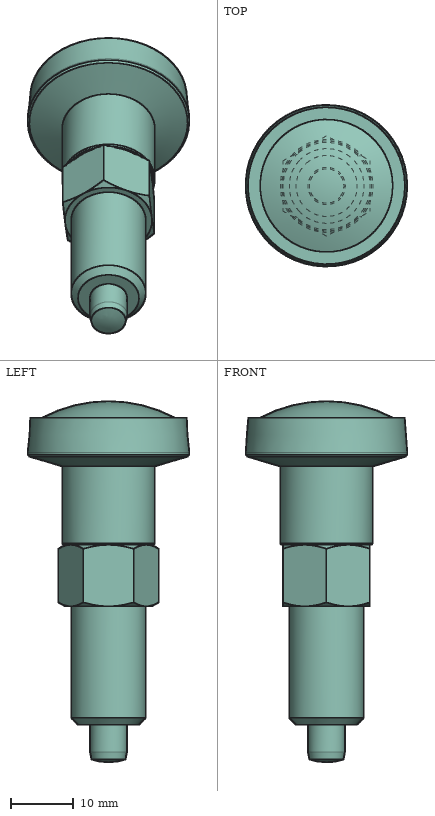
import cadquery as cq
import math

total_height = 58.0
rim_top_z = 55.35
band_top_z = 49.8
band_bottom_z = 49.4
cone_top_z = 49.05
neck_top_z = 47.5
hex_top_z = 34.9
hex_bottom_z = 25.05
barrel_chamfer_z = 7.15
barrel_end_z = 6.05
pin_shoulder_z = 1.7
pin_crown_z = 0.45

knob_diameter = 26.0
rim_top_diameter = 25.2
cone_top_diameter = 25.4
dome_diameter = 21.3
neck_diameter = 14.9
neck_chamfer = 0.25
barrel_diameter = 12.0
pin_diameter = 6.0
pin_crown_diameter = 5.5

hex_across_flats = 14.0
hex_across_corners = hex_across_flats / math.cos(math.pi / 6)
hex_chamfer_angle = math.radians(30)


def make_knob():
    """Domed, slightly tapered knob with its neck, down to the hexagon."""
    dome_radius = dome_diameter / 2
    dome_rise = total_height - rim_top_z
    sphere_radius = (dome_radius**2 + dome_rise**2) / (2 * dome_rise)
    mid_radius = dome_radius / 2
    mid_z = total_height - sphere_radius + math.sqrt(sphere_radius**2 - mid_radius**2)
    return (
        cq.Workplane("XZ")
        .moveTo(0, hex_top_z)
        .lineTo(neck_diameter / 2 - neck_chamfer, hex_top_z)
        .lineTo(neck_diameter / 2, hex_top_z + neck_chamfer)
        .lineTo(neck_diameter / 2, neck_top_z)
        .lineTo(cone_top_diameter / 2, cone_top_z)
        .lineTo(knob_diameter / 2, band_bottom_z)
        .lineTo(knob_diameter / 2, band_top_z)
        .lineTo(rim_top_diameter / 2, rim_top_z)
        .lineTo(dome_radius, rim_top_z)
        .threePointArc((mid_radius, mid_z), (0, total_height))
        .close()
        .revolve()
    )


def make_hexagon():
    """Hexagonal section with 30 degree chamfered corners at both ends."""
    height = hex_top_z - hex_bottom_z
    prism = (
        cq.Workplane("XY", origin=(0, 0, hex_bottom_z))
        .polygon(6, hex_across_corners)
        .extrude(height)
        .rotate((0, 0, 0), (0, 0, 1), 30)
    )
    corner_radius = hex_across_corners / 2
    face_radius = hex_across_flats / 2
    chamfer_height = (corner_radius - face_radius) * math.tan(hex_chamfer_angle)
    envelope = (
        cq.Workplane("XZ")
        .moveTo(0, hex_bottom_z)
        .lineTo(face_radius, hex_bottom_z)
        .lineTo(corner_radius, hex_bottom_z + chamfer_height)
        .lineTo(corner_radius, hex_top_z - chamfer_height)
        .lineTo(face_radius, hex_top_z)
        .lineTo(0, hex_top_z)
        .close()
        .revolve()
    )
    return prism.intersect(envelope)


def make_barrel():
    """Cylindrical barrel with a 45 degree chamfer at its lower end."""
    chamfer = barrel_chamfer_z - barrel_end_z
    return (
        cq.Workplane("XY", origin=(0, 0, barrel_end_z))
        .circle(barrel_diameter / 2)
        .extrude(hex_bottom_z - barrel_end_z)
        .faces("<Z")
        .chamfer(chamfer)
    )


def make_pin():
    """Locking pin with a tapered nose and a shallow crowned end."""
    crown_radius = pin_crown_diameter / 2
    sphere_radius = (crown_radius**2 + pin_crown_z**2) / (2 * pin_crown_z)
    mid_radius = crown_radius / 2
    mid_z = sphere_radius - math.sqrt(sphere_radius**2 - mid_radius**2)
    return (
        cq.Workplane("XZ")
        .moveTo(0, 0)
        .threePointArc((mid_radius, mid_z), (crown_radius, pin_crown_z))
        .lineTo(pin_diameter / 2, pin_shoulder_z)
        .lineTo(pin_diameter / 2, barrel_end_z)
        .lineTo(0, barrel_end_z)
        .close()
        .revolve()
    )


result = make_knob().union(make_hexagon()).union(make_barrel()).union(make_pin())